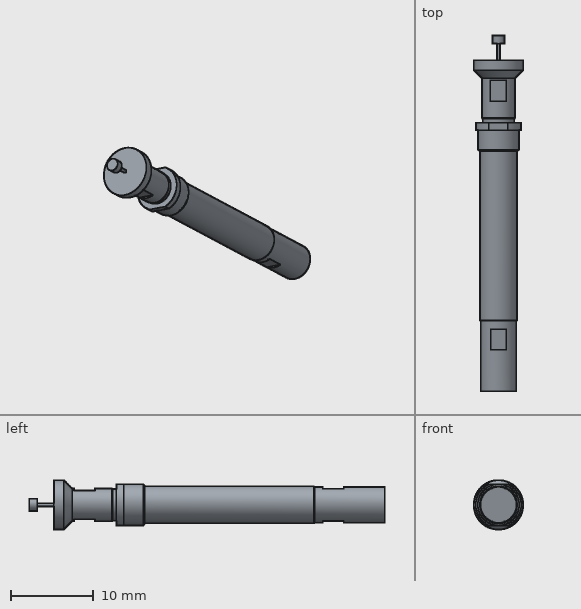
import cadquery as cq

total_length = 43.0

nose_diameter = 4.35
body_diameter = 4.5
sleeve_diameter = 5.0
collar_diameter = 5.5
neck_diameter = 3.86
plunger_diameter = 4.0
flange_diameter = 6.0
pin_diameter = 0.4
pin_head_diameter = 1.5

nose_length = 8.5
body_edge_taper = 0.1
body_length = 20.5
sleeve_lead_in = 0.2
sleeve_length = 2.35
collar_length = 0.9
neck_length = 0.45
plunger_edge_taper = 0.12
flange_cone_length = (flange_diameter - plunger_diameter) / 2
flange_rim_length = 1.2
pin_head_length = 1.0
pin_length = 2.0

flat_length = 2.5
nose_flat_spacing = 3.9
nose_flat_start = 5.0
plunger_flat_spacing = 3.5
plunger_flat_gap = 0.25
collar_flat_spacing = sleeve_diameter

body_start = nose_length
body_end = body_start + body_length
sleeve_start = body_end
collar_start = sleeve_start + sleeve_length + sleeve_lead_in
neck_start = collar_start + collar_length
plunger_start = neck_start + neck_length
pin_head_start = total_length - pin_head_length
flange_rear = pin_head_start - pin_length
flange_rim_start = flange_rear - flange_rim_length
plunger_end = flange_rim_start - flange_cone_length


def turned(start, end, diameter, end_diameter=None):
    """Cylinder, or cone when end_diameter is given, along Y between two stations."""
    end_radius = (end_diameter or diameter) / 2
    return (
        cq.Workplane("XY")
        .moveTo(0, start)
        .lineTo(diameter / 2, start)
        .lineTo(end_radius, end)
        .lineTo(0, end)
        .close()
        .revolve(360, (0, 0, 0), (0, 1, 0))
    )


def cut_flats(solid, start, length, spacing):
    """Cut two opposite flats, the given spacing apart in Z."""
    size = flange_diameter
    for side in (1, -1):
        cutter = cq.Workplane("XY").box(size, length, size).translate(
            (0, start + length / 2, side * (spacing + size) / 2)
        )
        solid = solid.cut(cutter)
    return solid


def make_nose():
    nose = turned(0, nose_length, nose_diameter)
    return cut_flats(nose, nose_flat_start, flat_length, nose_flat_spacing)


def make_body():
    edge_end = body_start + body_edge_taper
    edge = turned(body_start, edge_end, nose_diameter, body_diameter)
    return edge.union(turned(edge_end, body_end, body_diameter))


def make_sleeve():
    lead_in_end = sleeve_start + sleeve_lead_in
    lead_in = turned(sleeve_start, lead_in_end, body_diameter, sleeve_diameter)
    return lead_in.union(turned(lead_in_end, collar_start, sleeve_diameter))


def make_collar():
    collar = turned(collar_start, neck_start, collar_diameter)
    return cut_flats(collar, collar_start, collar_length, collar_flat_spacing)


def make_plunger():
    edge_end = plunger_start + plunger_edge_taper
    neck = turned(neck_start, plunger_start, neck_diameter)
    edge = turned(plunger_start, edge_end, neck_diameter, plunger_diameter)
    plunger = neck.union(edge).union(turned(edge_end, plunger_end, plunger_diameter))
    flat_start = plunger_end - plunger_flat_gap - flat_length
    return cut_flats(plunger, flat_start, flat_length, plunger_flat_spacing)


def make_flange():
    cone = turned(plunger_end, flange_rim_start, plunger_diameter, flange_diameter)
    return cone.union(turned(flange_rim_start, flange_rear, flange_diameter))


def make_pin():
    shank = turned(flange_rear, pin_head_start, pin_diameter)
    return shank.union(turned(pin_head_start, total_length, pin_head_diameter))


result = (
    make_nose()
    .union(make_body())
    .union(make_sleeve())
    .union(make_collar())
    .union(make_plunger())
    .union(make_flange())
    .union(make_pin())
)